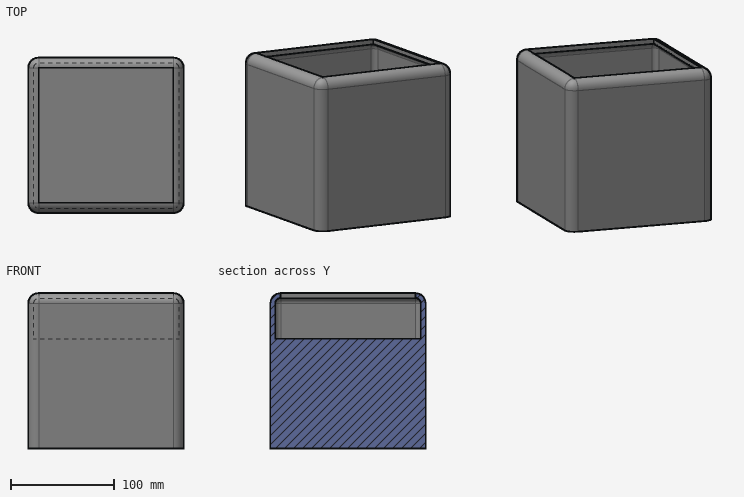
import cadquery as cq

side = 150.0
edge_radius = 10.0
wall = 5.0
cavity_depth = 44.0

cavity_side = side - 2 * wall
cavity_radius = edge_radius - wall
floor_height = side - cavity_depth
opening_side = side - 2 * edge_radius


def rounded_block(width, base, top, radius):
    """Square block with rounded upright and top edges and a sharp base."""
    height = top - base
    block = cq.Workplane("XY").workplane(offset=base)
    block = block.box(width, width, height, centered=(True, True, False))
    return block.edges("|Z or >Z").fillet(radius)


body = rounded_block(side, 0, side, edge_radius)

cavity = rounded_block(cavity_side, floor_height, side - wall, cavity_radius)

opening = (
    cq.Workplane("XY")
    .workplane(offset=floor_height)
    .rect(opening_side, opening_side)
    .extrude(cavity_depth)
)

result = body.cut(cavity).cut(opening)